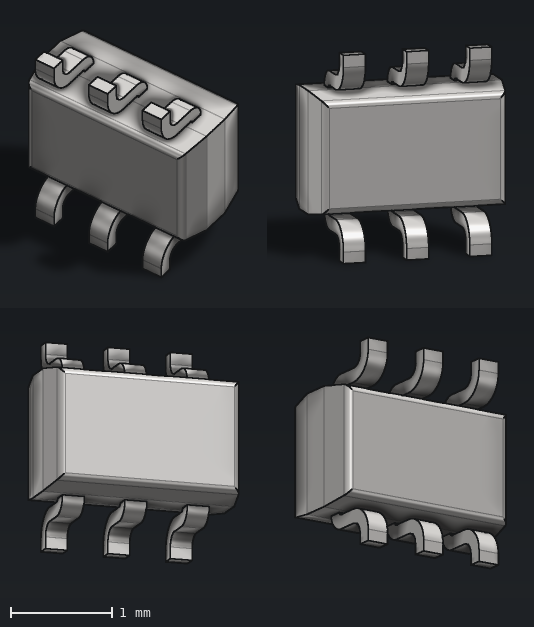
import cadquery as cq
import math

package_length = 2.0
package_thickness = 1.0
package_width = 1.25
belt_thickness = 0.31
draft_angle = 10.0
face_edge_radius = 0.07

overall_span = 2.1
standoff = 0.1
lead_pitch = 0.65
lead_width = 0.229
lead_thickness = 0.15
leads_per_side = 3
shoulder_inner_radius = 0.03
foot_inner_radius = 0.125

package_side_z = package_width / 2
foot_tip_z = overall_span / 2
foot_y = -package_thickness / 2 - standoff
root_y = lead_thickness / 2
shoulder_outer_radius = shoulder_inner_radius + lead_thickness
foot_outer_radius = foot_inner_radius + lead_thickness


def make_package():
    """Belt with a drafted half on each side and rounded front and back faces."""
    draft_depth = (package_thickness - belt_thickness) / 2
    package = cq.Workplane("XZ").rect(package_length, package_width).extrude(belt_thickness / 2, both=True)
    for face in ("<Y", ">Y"):
        package = (
            package.faces(face)
            .workplane(centerOption="CenterOfMass")
            .rect(package_length, package_width)
            .extrude(draft_depth, taper=draft_angle)
        )
    return package.faces("<Y or >Y").edges().fillet(face_edge_radius)


def arc_point(center, radius, degrees):
    """Point on a circle in the YZ plane, with the angle measured from +Y towards +Z."""
    angle = math.radians(degrees)
    return (center[0] + radius * math.cos(angle), center[1] + radius * math.sin(angle))


def make_lead(x_center):
    """One lead on the +Z side: shoulder bend, run towards -Y, then the foot bend out to the tip."""
    shoulder_center = (root_y - shoulder_outer_radius, package_side_z)
    run_inner_z = package_side_z + shoulder_inner_radius
    run_outer_z = package_side_z + shoulder_outer_radius
    foot_center = (foot_y + foot_outer_radius, run_inner_z + foot_outer_radius)
    foot_back_y = foot_y + lead_thickness
    return (
        cq.Workplane("YZ", origin=(x_center - lead_width / 2, 0, 0))
        .moveTo(root_y, package_side_z)
        .threePointArc(
            arc_point(shoulder_center, shoulder_outer_radius, 45),
            (shoulder_center[0], run_outer_z),
        )
        .lineTo(foot_center[0], run_outer_z)
        .threePointArc(arc_point(foot_center, foot_inner_radius, 225), (foot_back_y, foot_center[1]))
        .lineTo(foot_back_y, foot_tip_z)
        .lineTo(foot_y, foot_tip_z)
        .lineTo(foot_y, foot_center[1])
        .threePointArc(arc_point(foot_center, foot_outer_radius, 225), (foot_center[0], run_inner_z))
        .lineTo(shoulder_center[0], run_inner_z)
        .threePointArc(
            arc_point(shoulder_center, shoulder_inner_radius, 45),
            (root_y - lead_thickness, package_side_z),
        )
        .close()
        .extrude(lead_width)
    )


package = make_package()

leads = []
for index in range(leads_per_side):
    lead_x = (index - (leads_per_side - 1) / 2) * lead_pitch
    upper_lead = make_lead(lead_x)
    lower_lead = upper_lead.mirror("XY")
    leads.append(upper_lead.val())
    leads.append(lower_lead.val())

result = cq.Compound.makeCompound([package.val(), *leads])